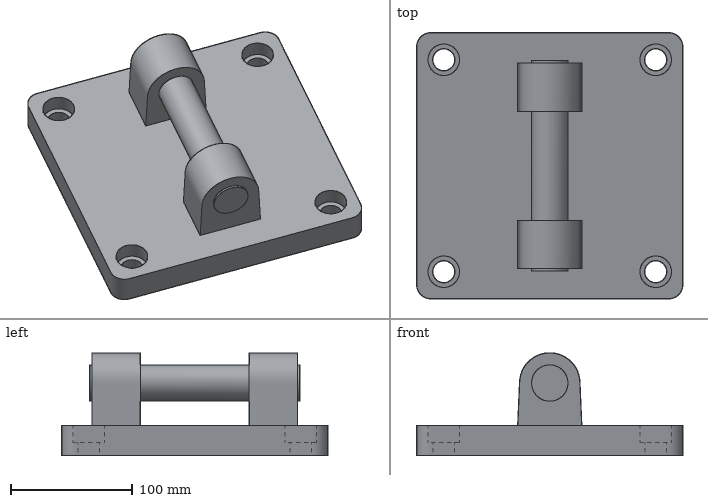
import cadquery as cq
import math

plate_side = 220.0
plate_thickness = 25.0
corner_radius = 12.0

hole_pitch = 175.0
hole_diameter = 18.0
counterbore_diameter = 26.0
counterbore_depth = 14.0

overall_height = 85.0
lug_top_radius = 25.0
lug_base_width = 53.1
lug_length = 40.0
lug_gap = 90.0

pin_diameter = 30.0
pin_length = 173.6
pin_height = overall_height - lug_top_radius


def make_plate():
    """Square plate with rounded vertical corners, standing on Z = 0."""
    plate = cq.Workplane("XY").box(plate_side, plate_side, plate_thickness, centered=(True, True, False))
    plate = plate.edges("|Z").fillet(corner_radius)
    return (
        plate.faces(">Z")
        .workplane()
        .rect(hole_pitch, hole_pitch, forConstruction=True)
        .vertices()
        .cboreHole(hole_diameter, counterbore_diameter, counterbore_depth)
    )


def make_lug(y_start):
    """Tapered lug whose straight flanks run tangent into a round top."""
    half_base = lug_base_width / 2
    rise = pin_height - plate_thickness
    tangent_angle = math.acos(lug_top_radius / math.hypot(half_base, rise)) - math.atan2(rise, half_base)
    tangent_x = lug_top_radius * math.cos(tangent_angle)
    tangent_z = pin_height + lug_top_radius * math.sin(tangent_angle)
    return (
        cq.Workplane("XZ", origin=(0, y_start, 0))
        .moveTo(-half_base, plate_thickness)
        .lineTo(half_base, plate_thickness)
        .lineTo(tangent_x, tangent_z)
        .threePointArc((0, overall_height), (-tangent_x, tangent_z))
        .close()
        .extrude(-lug_length)
    )


def make_pin():
    """Round pin along Y, standing slightly proud of both lugs."""
    return (
        cq.Workplane("XZ", origin=(0, -pin_length / 2, pin_height))
        .circle(pin_diameter / 2)
        .extrude(-pin_length)
    )


result = make_plate()
for lug_start in (-lug_gap / 2 - lug_length, lug_gap / 2):
    result = result.union(make_lug(lug_start))
result = result.union(make_pin())